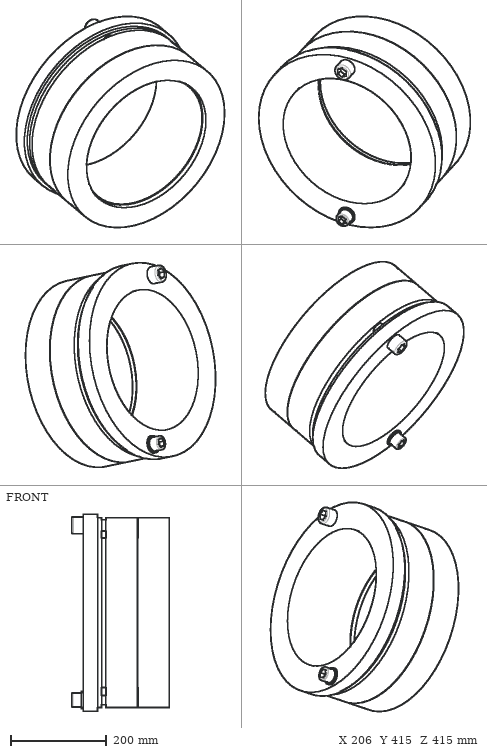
import cadquery as cq
import math

flange_diameter = 415.0
ring_diameter = 400.0
bore_diameter = 300.0
sleeve_diameter = 315.5
total_length = 206.0

head_height = 24.0
flange_thickness = 30.7
spigot_length = 8.5
open_gap = 9.0
ring_split = 1.2
end_lip_length = 11.5
end_lip_bore_diameter = 304.0

flange_start = head_height
flange_end = flange_start + flange_thickness
spigot_end = flange_end + spigot_length
rings_start = spigot_end + open_gap
ring_length = (total_length - rings_start - ring_split) / 2
rear_ring_start = total_length - ring_length
sleeve_end = total_length - end_lip_length

screw_circle_radius = 184.0
thread_engagement = 50.0
clamp_head_diameter = 36.0
clamp_shank_diameter = 24.0
clamp_edge_radius = 3.5
clamp_socket_width = 19.0
jack_head_diameter = 30.0
jack_shank_diameter = 20.0
jack_edge_radius = 2.0
jack_socket_width = 17.0
socket_depth = 12.0
drill_point_angle = 120.0
shanks = [
    (clamp_shank_diameter, screw_circle_radius),
    (jack_shank_diameter, -screw_circle_radius),
]
washer_diameter = 37.0
washer_hole_diameter = 21.0
washer_thickness = 3.7


def cylinder(diameter, start, end, height=0.0):
    """Solid cylinder along X between two stations, its axis at the given Z."""
    return (
        cq.Workplane("YZ", origin=(start, 0, height))
        .circle(diameter / 2)
        .extrude(end - start)
    )


def socket_screw(head_diameter, shank_diameter, socket_width, edge_radius, seat, height):
    """Socket head screw with its head between X = 0 and the seat, and its shank towards +X."""
    head = cylinder(head_diameter, 0, seat, height).faces("<X").edges().fillet(edge_radius)
    shank = cylinder(shank_diameter, seat, rings_start + thread_engagement, height)
    corner_diameter = socket_width / math.cos(math.pi / 6)
    socket = (
        cq.Workplane("YZ", origin=(0, 0, height))
        .transformed(rotate=(0, 0, 90))
        .polygon(6, corner_diameter)
        .extrude(socket_depth)
    )
    point_radius = socket_width / 2
    point_depth = point_radius / math.tan(math.radians(drill_point_angle / 2))
    drill_point = cq.Workplane(
        cq.Solid.makeCone(
            point_radius, 0, point_depth,
            cq.Vector(socket_depth, 0, height), cq.Vector(1, 0, 0),
        )
    )
    return head.union(shank).cut(socket).cut(drill_point)


def make_flange():
    """Pressure flange with a short spigot and a long thin sleeve carrying the rings."""
    body = cylinder(flange_diameter, flange_start, flange_end)
    body = body.union(cylinder(ring_diameter, flange_end, spigot_end))
    body = body.union(cylinder(sleeve_diameter, spigot_end, sleeve_end))
    body = body.cut(cylinder(bore_diameter, flange_start, sleeve_end))
    for diameter, height in shanks:
        body = body.cut(cylinder(diameter, flange_start, spigot_end, height))
    return body


def make_front_ring():
    """Ring on the sleeve, with a blind hole for the end of each screw."""
    end = rings_start + ring_length
    body = cylinder(ring_diameter, rings_start, end)
    body = body.cut(cylinder(sleeve_diameter, rings_start, end))
    for diameter, height in shanks:
        body = body.cut(cylinder(diameter, rings_start, rings_start + thread_engagement, height))
    return body


def make_rear_ring():
    """Ring on the sleeve, with an inner lip that covers the end of the sleeve."""
    body = cylinder(ring_diameter, rear_ring_start, total_length)
    body = body.cut(cylinder(sleeve_diameter, rear_ring_start, sleeve_end))
    return body.cut(cylinder(end_lip_bore_diameter, sleeve_end, total_length))


def make_washer():
    """Plain washer between the flange and the head of the jacking screw."""
    start = flange_start - washer_thickness
    body = cylinder(washer_diameter, start, flange_start, -screw_circle_radius)
    return body.cut(cylinder(washer_hole_diameter, start, flange_start, -screw_circle_radius))


flange = make_flange()
front_ring = make_front_ring()
rear_ring = make_rear_ring()
washer = make_washer()
clamp_screw = socket_screw(
    clamp_head_diameter, clamp_shank_diameter, clamp_socket_width, clamp_edge_radius,
    flange_start, screw_circle_radius,
)
jack_screw = socket_screw(
    jack_head_diameter, jack_shank_diameter, jack_socket_width, jack_edge_radius,
    flange_start - washer_thickness, -screw_circle_radius,
)

result = cq.Compound.makeCompound([
    flange.val(),
    front_ring.val(),
    rear_ring.val(),
    clamp_screw.val(),
    jack_screw.val(),
    washer.val(),
])